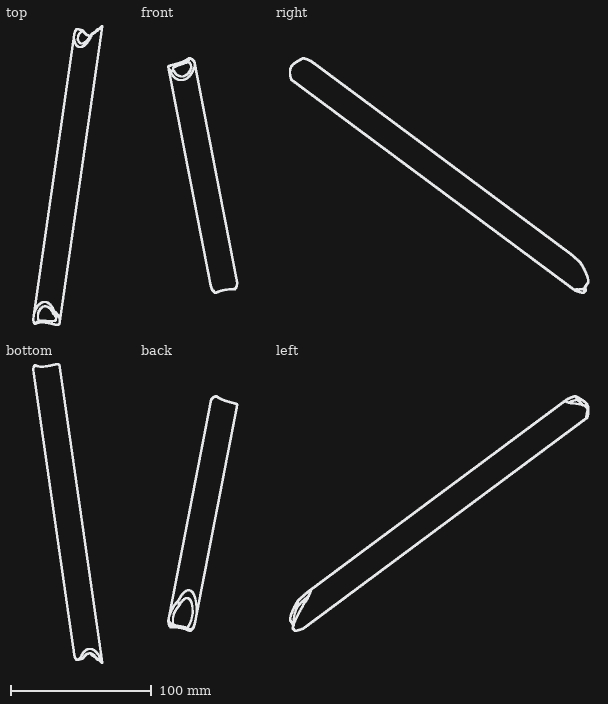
import cadquery as cq
import math

OUTER_RADIUS = 9.5
WALL = 3.0

HIGH_REACH = 129.9
LOW_REACH = 132.8

SLOPE_X = 0.144
SLOPE_Z = -0.743
CENTRE = cq.Vector(-0.34, 0, 2.08)
AXIS = cq.Vector(SLOPE_X, 1, SLOPE_Z).normalized()
SIDEWAYS = AXIS.cross(cq.Vector(0, 0, 1)).normalized()

HIGH_END_NEIGHBOURS = [(80, 7, -2.0, 135.2), (105, -28, 1.7, 135.8)]
LOW_END_NEIGHBOURS = [(80, 32, 0.6, 144.5), (80, -61, -4.0, 142.8), (70, -49, 2.5, 141.3)]
NEIGHBOUR_LENGTH = 169.5


def make_blank():
    """Straight round tube whose square ends trim the sharp tips left by the notches."""
    start = cq.Plane(CENTRE - AXIS * HIGH_REACH, SIDEWAYS, AXIS)
    return cq.Workplane(start).circle(OUTER_RADIUS).circle(OUTER_RADIUS - WALL).extrude(HIGH_REACH + LOW_REACH)


def make_neighbour(end_frame, bearing, tilt, offset, distance):
    """Solid cylinder standing where a neighbouring tube crosses this one."""
    turn = math.radians(bearing)
    rise = math.radians(tilt)
    direction = cq.Vector(
        math.cos(turn) * math.cos(rise), math.sin(turn) * math.cos(rise), math.sin(rise)
    )
    middle = cq.Vector(-math.sin(turn) * offset, math.cos(turn) * offset, distance)
    base = middle - direction * (NEIGHBOUR_LENGTH / 2)
    cylinder = cq.Solid.makeCylinder(OUTER_RADIUS, NEIGHBOUR_LENGTH, base, direction)
    return cylinder.moved(cq.Location(end_frame))


def notch(body, end_frame, neighbours):
    """Cut the neighbouring tubes from one end and keep the main piece."""
    for neighbour in neighbours:
        body = body.cut(cq.Workplane(make_neighbour(end_frame, *neighbour)))
    main_piece = max(body.solids().vals(), key=lambda piece: piece.Volume())
    return cq.Workplane(main_piece)


HIGH_END = cq.Plane(CENTRE, SIDEWAYS, AXIS * -1)
LOW_END = cq.Plane(CENTRE, SIDEWAYS * -1, AXIS)

result = notch(make_blank(), HIGH_END, HIGH_END_NEIGHBOURS)
result = notch(result, LOW_END, LOW_END_NEIGHBOURS)